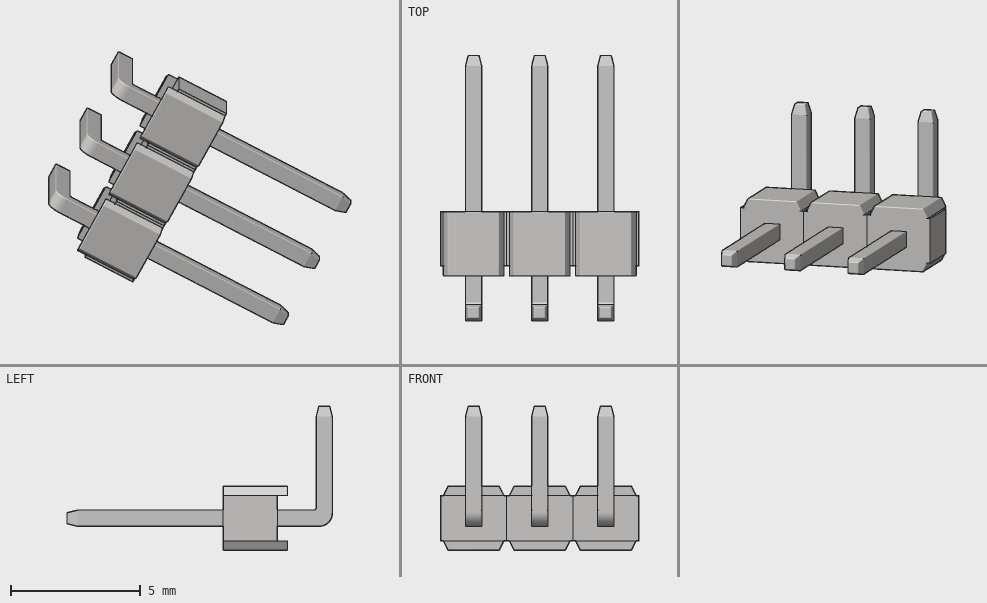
import cadquery as cq


positions = 3
pitch = 2.54

block_depth = 2.08
block_height = 1.75
housing_depth = 2.48
housing_height = 2.47
cap_base_width = 2.34
cap_top_width = 1.97
cap_edge_radius = 0.04

wire = 0.63
half_wire = wire / 2
wire_edge_radius = 0.04
tip_length = 0.41
tip_inset = 0.1

post_length = 6.01

leg_front = -4.21
leg_top = 4.31
bend_outer_radius = 0.51
bend_inner_radius = 0.08


def make_cap():
    """Trapezoid bar on top of a block, with softened edges except around its base."""
    cap = (
        cq.Workplane("XZ")
        .moveTo(-cap_base_width / 2, block_height / 2)
        .lineTo(cap_base_width / 2, block_height / 2)
        .lineTo(cap_top_width / 2, housing_height / 2)
        .lineTo(-cap_top_width / 2, housing_height / 2)
        .close()
        .extrude(housing_depth)
    )
    return cap.edges("not(<Z)").fillet(cap_edge_radius)


def make_housing():
    """Block with one cap above and a mirrored one below, both overhanging at the front."""
    block = cq.Workplane("XY").box(pitch, block_depth, block_height).translate((0, -block_depth / 2, 0))
    cap = make_cap()
    return block.union(cap).union(cap.mirror("XY"))


def make_tip():
    """Tapered end of a pin, pointing up from Z = 0."""
    end_width = wire - 2 * tip_inset
    return (
        cq.Workplane("XY")
        .rect(wire, wire)
        .workplane(offset=tip_length)
        .rect(end_width, end_width)
        .loft(ruled=True)
    )


def make_post():
    """Straight pin that starts on the rear face of the block."""
    shank_length = post_length - tip_length
    shank = cq.Workplane("XY").rect(wire, wire).extrude(shank_length)
    post = shank.union(make_tip().translate((0, 0, shank_length)))
    post = post.edges("(not #Z) or >Z").fillet(wire_edge_radius)
    return post.rotate((0, 0, 0), (1, 0, 0), -90)


def make_leg():
    """Pin that starts on the front face of the block, bends upward and ends in a tip."""
    shank_top = leg_top - tip_length
    leg_back = leg_front + wire
    start = -block_depth
    shank = (
        cq.Workplane("YZ")
        .moveTo(start, -half_wire)
        .lineTo(leg_front + bend_outer_radius, -half_wire)
        .radiusArc((leg_front, -half_wire + bend_outer_radius), bend_outer_radius)
        .lineTo(leg_front, shank_top)
        .lineTo(leg_back, shank_top)
        .lineTo(leg_back, half_wire + bend_inner_radius)
        .radiusArc((leg_back + bend_inner_radius, half_wire), -bend_inner_radius)
        .lineTo(start, half_wire)
        .close()
        .extrude(half_wire, both=True)
    )
    leg = shank.union(make_tip().translate((0, leg_front + half_wire, shank_top)))
    tip_foot = cq.selectors.BoxSelector(
        (-wire, leg_front - wire, shank_top - tip_length / 4),
        (wire, leg_back + wire, shank_top + tip_length / 4),
    )
    lengthwise = cq.selectors.StringSyntaxSelector("(not (|X or >Y)) or >Z")
    return leg.edges(lengthwise - tip_foot).fillet(wire_edge_radius)


housing = make_housing()
post = make_post()
leg = make_leg()

bodies = []
for position in range(positions):
    x = (position - (positions - 1) / 2) * pitch
    for body in (housing, post, leg):
        bodies.append(body.translate((x, 0, 0)).val())

result = cq.Compound.makeCompound(bodies)